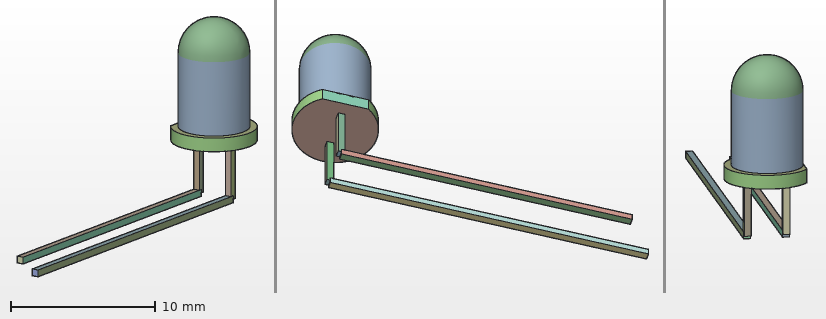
import cadquery as cq

overall_length = 26.0

flange_diameter = 6.0
flange_radius = flange_diameter / 2
flange_height = 1.0
barrel_diameter = 5.0
barrel_radius = barrel_diameter / 2
dome_base_z = 6.3

lead_width = 0.5
upright_length = 4.0
short_lead_x = -1.33
long_lead_x = 1.4
long_lead_reach = overall_length - flange_radius
short_lead_reach = 21.0
leads = [(short_lead_x, short_lead_reach), (long_lead_x, long_lead_reach)]


def make_housing():
    """Domed lens on a flange whose flat is tangent to the barrel."""
    flange = cq.Workplane("XY").circle(flange_radius).extrude(flange_height)
    flat_cutter = (
        cq.Workplane("XY")
        .box(flange_diameter, flange_diameter, flange_height, centered=(False, True, False))
        .translate((-barrel_radius - flange_diameter, 0, 0))
    )
    lens = (
        cq.Workplane("XZ")
        .moveTo(0, flange_height)
        .lineTo(barrel_radius, flange_height)
        .lineTo(barrel_radius, dome_base_z)
        .radiusArc((0, dome_base_z + barrel_radius), -barrel_radius)
        .close()
        .revolve(360, (0, 0, 0), (0, 1, 0))
    )
    return flange.cut(flat_cutter).union(lens).solids()


def make_horizontal_lead(x, reach):
    """Straight wire along -Y, centred on the lower end of its upright."""
    return (
        cq.Workplane("XY")
        .box(lead_width, reach, lead_width)
        .translate((x, -reach / 2, -upright_length))
    )


def make_upright_lead(x, horizontal_lead):
    """Vertical wire below the flange, notched at its foot for the horizontal lead."""
    wire = (
        cq.Workplane("XY")
        .rect(lead_width, lead_width)
        .extrude(-upright_length)
        .translate((x, 0, 0))
    )
    return wire.cut(horizontal_lead).solids()


housing = make_housing()
horizontal_leads = []
upright_leads = []
for lead_x, lead_reach in leads:
    horizontal_lead = make_horizontal_lead(lead_x, lead_reach)
    horizontal_leads.append(horizontal_lead.val())
    upright_leads.append(make_upright_lead(lead_x, horizontal_lead).val())

result = cq.Compound.makeCompound([housing.val(), *upright_leads, *horizontal_leads])